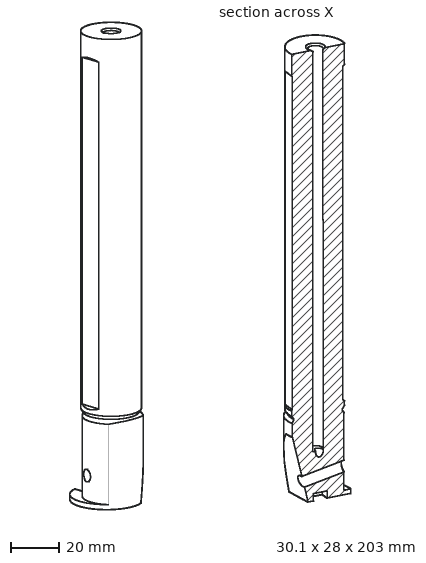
import cadquery as cq
import math

total_length = 203.0
shank_radius = 12.68
shank_bottom = 40.2

flat_bottom = 43.0
flat_top = 192.8
front_flat_depth = 1.0
back_flat_depth = 0.6

head_center_x = 1.0
head_radius = shank_radius
head_top = 37.0
neck_height = 38.5
neck_radius = 11.5

cutting_center_x = -2.74
cutting_radius = 15.32
lip_thickness = 2.2
cutting_edge_y = -4.3

slope_top = 28.6
slope_foot_y = 5.9
slope_turn = 8.0
slope_pivot_x = 6.0

gullet_height = 3.2
gullet_back_y = 2.0
gullet_end_x = 2.0

bore_radius = 3.2
bore_mouth_radius = 4.0
bore_bottom = 22.3
front_hole_radius = 2.6
front_hole_x = -1.52
front_hole_z = 13.09
front_hole_tilt = math.radians(10)
side_hole_radius = 1.72
side_hole_y = -0.6
side_hole_z = 11.4
side_hole_tilt = math.radians(49)

overlap = 2.0
reach = 2 * cutting_radius


def cylinder(center_x, radius, bottom, top):
    return cq.Workplane("XY", origin=(center_x, 0, bottom)).circle(radius).extrude(top - bottom)


def cone(low_x, low_radius, bottom, high_x, high_radius, top):
    """Loft between two circles whose centers may differ in X."""
    return (
        cq.Workplane("XY", origin=(0, 0, bottom))
        .center(low_x, 0)
        .circle(low_radius)
        .workplane(offset=top - bottom)
        .center(high_x - low_x, 0)
        .circle(high_radius)
        .loft(ruled=True)
    )


def drill(start, direction, radius, length):
    """Cylinder that begins one overlap outside the start point."""
    axis = cq.Vector(*direction).normalized()
    origin = cq.Vector(*start) - axis * overlap
    return cq.Workplane(obj=cq.Solid.makeCylinder(radius, length + overlap, origin, axis))


def make_flat(side, depth):
    """Long flat with 45 degree ends; side is -1 for front and +1 for back."""
    floor = side * (shank_radius - depth)
    outside = side * (shank_radius + overlap)
    flare = depth + overlap
    return (
        cq.Workplane("YZ", origin=(-shank_radius, 0, 0))
        .moveTo(floor, flat_bottom)
        .lineTo(floor, flat_top)
        .lineTo(outside, flat_top + flare)
        .lineTo(outside, flat_bottom - flare)
        .close()
        .extrude(2 * shank_radius)
    )


def make_shank():
    shank = cylinder(0, shank_radius, shank_bottom, total_length)
    shank = shank.cut(make_flat(-1, front_flat_depth))
    return shank.cut(make_flat(1, back_flat_depth))


def make_neck():
    upper = cone(0, neck_radius, neck_height, 0, shank_radius, shank_bottom)
    lower = cone(head_center_x, head_radius, head_top, 0, neck_radius, neck_height)
    trim = cylinder(cutting_center_x, cutting_radius, head_top, neck_height)
    return upper.union(lower.intersect(trim))


def make_head():
    head = cylinder(head_center_x, head_radius, 0, head_top)
    trim = cylinder(cutting_center_x, cutting_radius, 0, head_top)
    lip = cylinder(cutting_center_x, cutting_radius, 0, lip_thickness)
    lip_front = cq.Workplane("XY").box(2 * reach, reach, lip_thickness, centered=(True, False, False))
    lip_front = lip_front.translate((0, cutting_edge_y - reach, 0))
    return head.intersect(trim).union(lip.intersect(lip_front))


def make_clearance():
    slope_per_height = (shank_radius - slope_foot_y) / slope_top
    low_y = slope_foot_y - slope_per_height * overlap
    high_y = shank_radius + slope_per_height * overlap
    pivot = (slope_pivot_x, slope_foot_y)
    return (
        cq.Workplane("YZ", origin=(-reach, 0, 0))
        .moveTo(low_y, -overlap)
        .lineTo(high_y, slope_top + overlap)
        .lineTo(reach, slope_top + overlap)
        .lineTo(reach, -overlap)
        .close()
        .extrude(2 * reach)
        .rotate((*pivot, 0), (*pivot, 1), slope_turn)
    )


def make_gullet():
    return (
        cq.Workplane("YZ", origin=(-reach, 0, 0))
        .moveTo(cutting_edge_y, -overlap)
        .lineTo(cutting_edge_y, gullet_height)
        .lineTo(gullet_back_y, gullet_height)
        .lineTo(gullet_back_y, -overlap)
        .close()
        .extrude(reach + gullet_end_x)
    )


def make_bore():
    bore = cylinder(0, bore_radius, bore_bottom, total_length)
    mouth_bottom = total_length - (bore_mouth_radius - bore_radius)
    return bore.union(cone(0, bore_radius, mouth_bottom, 0, bore_mouth_radius, total_length))


def make_front_hole():
    direction = (0, math.cos(front_hole_tilt), -math.sin(front_hole_tilt))
    return drill((front_hole_x, -head_radius, front_hole_z), direction, front_hole_radius, reach)


def make_side_hole():
    """Coolant outlet climbing from the side of the head to the bore axis."""
    wall_x = head_center_x - head_radius
    direction = (math.cos(side_hole_tilt), 0, math.sin(side_hole_tilt))
    length = -wall_x / math.cos(side_hole_tilt)
    return drill((wall_x, side_hole_y, side_hole_z), direction, side_hole_radius, length)


result = make_shank().union(make_neck()).union(make_head())
for removed in (make_clearance(), make_gullet(), make_bore(), make_front_hole(), make_side_hole()):
    result = result.cut(removed)